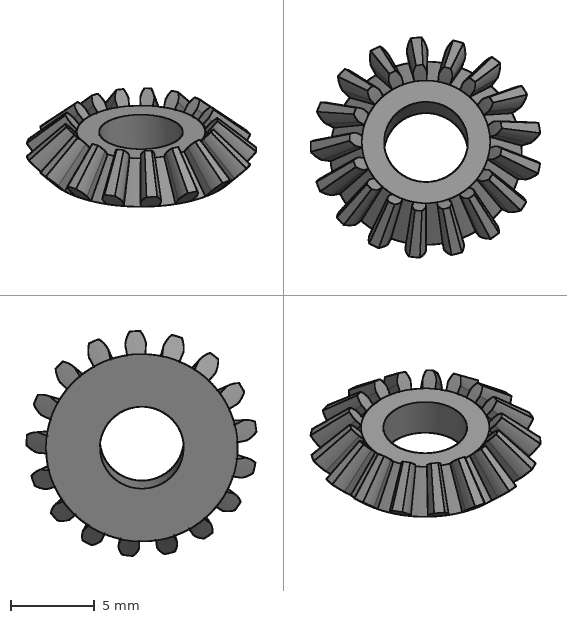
import cadquery as cq
import math

tooth_count = 17
outer_size = 13.79
bore_diameter = 5.0
total_height = 3.15
hub_radius = 3.83
hub_height = 2.33
root_radius = 5.74

root_half_width = 0.55
widest_half_width = 0.63
flank_half_width = 0.51
tip_half_width = 0.32
widest_rise = 0.52
flank_rise = 0.88

tooth_pitch = 360 / tooth_count
corner_offset = math.radians(tooth_pitch / 4)
tip_center_radius = (
    outer_size / 2 - tip_half_width * math.sin(corner_offset)
) / math.cos(corner_offset)
tip_radius = math.hypot(tip_center_radius, tip_half_width)

tip_height = tip_radius - root_radius

apex_height = root_radius * hub_height / (root_radius - hub_radius)
toe_tip_radius = tip_radius * (apex_height - total_height) / (apex_height - tip_height)

blank_heel_scale = 1.1
blank_toe_scale = 0.5
blank_overshoot = 0.07


def revolve_about_axis(profile):
    """Solid of revolution about Z from (radius, height) points."""
    return cq.Workplane("XZ").polyline(profile).close().revolve(360, (0, 0), (0, 1))


def make_body():
    return revolve_about_axis([
        (0, 0),
        (root_radius, 0),
        (hub_radius, hub_height),
        (0, hub_height),
    ])


def make_tooth_envelope():
    """Turned shape that holds all teeth between the heel, tip and toe cones."""
    return revolve_about_axis([
        (0, 0),
        (root_radius, 0),
        (tip_radius, tip_height),
        (toe_tip_radius, total_height),
        (hub_radius, hub_height),
        (0, hub_height),
    ])


def section_point(half_width, rise, scale):
    """Point in the 45 degree heel plane, scaled about the apex."""
    radius = (root_radius + rise) * scale
    height = apex_height - (apex_height - rise) * scale
    return cq.Vector(radius, half_width * scale, height)


def make_tooth_section(scale):
    """Closed tooth outline: straight flank foot, then a convex arc up to the tip."""
    def make_flank(side):
        foot = section_point(side * root_half_width, -blank_overshoot, scale)
        root = section_point(side * root_half_width, 0, scale)
        widest = section_point(side * widest_half_width, widest_rise, scale)
        middle = section_point(side * flank_half_width, flank_rise, scale)
        tip = section_point(side * tip_half_width, tip_height, scale)
        crest = section_point(side * tip_half_width, tip_height + blank_overshoot, scale)
        edges = [
            cq.Edge.makeLine(foot, root),
            cq.Edge.makeLine(root, widest),
            cq.Edge.makeThreePointArc(widest, middle, tip),
            cq.Edge.makeLine(tip, crest),
        ]
        return foot, crest, edges

    left_foot, left_crest, left_edges = make_flank(1)
    right_foot, right_crest, right_edges = make_flank(-1)
    top = cq.Edge.makeLine(left_crest, right_crest)
    bottom = cq.Edge.makeLine(right_foot, left_foot)
    return cq.Wire.assembleEdges(left_edges + [top] + right_edges[::-1] + [bottom])


def make_tooth():
    heel_section = make_tooth_section(blank_heel_scale)
    toe_section = make_tooth_section(blank_toe_scale)
    blank = cq.Solid.makeLoft([heel_section, toe_section], True)
    return make_tooth_envelope().intersect(cq.Workplane(blank))


gear = make_body()
tooth = make_tooth()
for index in range(tooth_count):
    gear = gear.union(tooth.rotate((0, 0, 0), (0, 0, 1), index * tooth_pitch))

bore = cq.Workplane("XY").circle(bore_diameter / 2).extrude(hub_height)
result = gear.cut(bore)